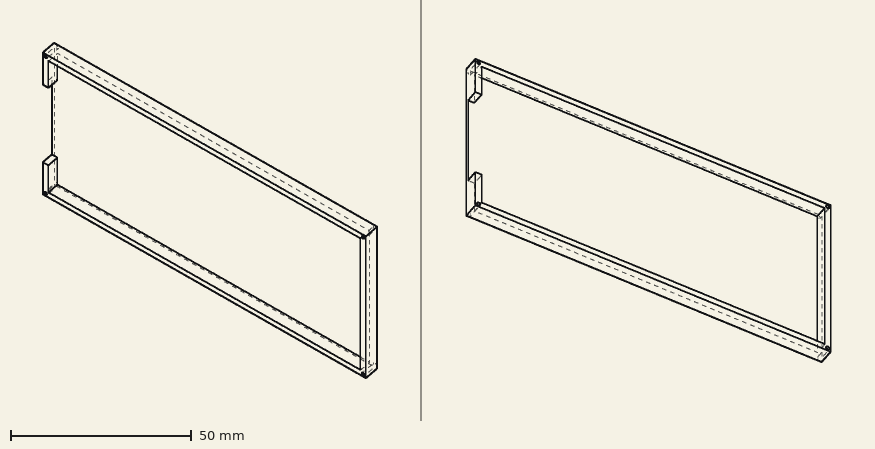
import cadquery as cq

length = 115.0
depth = 5.0
height = 55.0

floor = 1.0
wall = 2 * floor
notch_height = 30.0

hole_diameter = 1.0
hole_inset = wall / 2

cavity_depth = depth - floor


def front_plane():
    """Work plane on the open rim, with local X along X and local Y along Z."""
    return cq.Workplane("XZ", origin=(0, -depth / 2, 0))


def cut_tool(sketch, tool_depth):
    """Extrude a rim sketch towards the floor (+Y)."""
    return sketch.extrude(-tool_depth)


body = cq.Workplane("XY").box(length, depth, height)

cavity = cut_tool(front_plane().rect(length - 2 * wall, height - 2 * wall), cavity_depth)

notch = cut_tool(
    front_plane().center(-(length - wall) / 2, 0).rect(wall, notch_height),
    cavity_depth,
)

corner_holes = cut_tool(
    front_plane()
    .rect(length - 2 * hole_inset, height - 2 * hole_inset, forConstruction=True)
    .vertices()
    .circle(hole_diameter / 2),
    depth,
)

result = body.cut(cavity).cut(notch).cut(corner_holes)